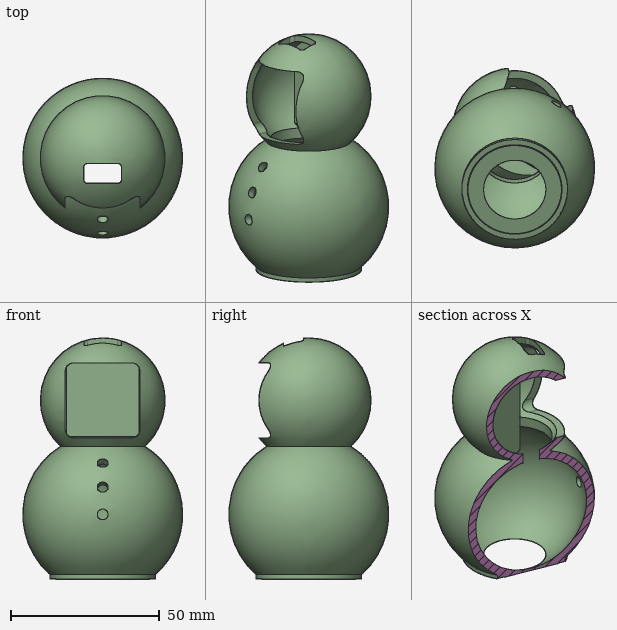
import cadquery as cq
import math

TOTAL_HEIGHT = 81.17
BODY_RADIUS = 26.9
FOOT_DIAMETER = 31.42
BODY_CENTRE_Z = math.sqrt(BODY_RADIUS**2 - (FOOT_DIAMETER / 2) ** 2)
HEAD_RADIUS = 20.99
HEAD_CENTRE_Z = TOTAL_HEIGHT - HEAD_RADIUS
INNER_RATIO = 0.9
BODY_INNER_RADIUS = BODY_RADIUS * INNER_RATIO
HEAD_INNER_RADIUS = HEAD_RADIUS * INNER_RATIO

BASE_DIAMETER = 35.54
BASE_BOTTOM_Z = 0.15
BASE_TOP_Z = BODY_CENTRE_Z - math.sqrt(BODY_RADIUS**2 - (BASE_DIAMETER / 2) ** 2)

NECK_BORE_DIAMETER = 25.2

WINDOW_SIZE = 25.2
WINDOW_CORNER_RADIUS = 3.0

BLOCK_SIZE = 24.4
BLOCK_FACE_Y = 4.3
UNDERSIDE_SLOPE = 45.0

SLOT_WIDTH = 12.6
SLOT_LENGTH = 6.6
SLOT_CENTRE_Y = -5.15
SLOT_CORNER_RADIUS = 1.2

BUTTON_DIAMETER = 3.59
BUTTON_COUNT = 3
BUTTON_PITCH_ANGLE = 20.0


def ball(radius, centre_z):
    return cq.Workplane("XY").sphere(radius).translate((0, 0, centre_z))


def cylinder(diameter, bottom_z, top_z):
    return cq.Workplane("XY", origin=(0, 0, bottom_z)).circle(diameter / 2).extrude(top_z - bottom_z)


def outer_shape():
    below_ground = cylinder(2 * BODY_RADIUS, -BODY_RADIUS, 0)
    body = ball(BODY_RADIUS, BODY_CENTRE_Z).cut(below_ground)
    base_ring = cylinder(BASE_DIAMETER, BASE_BOTTOM_Z, BASE_TOP_Z)
    return body.union(base_ring).union(ball(HEAD_RADIUS, HEAD_CENTRE_Z))


def mounting_block():
    """Block with a sloping underside, limited to the head cavity."""
    half = BLOCK_SIZE / 2
    depth = HEAD_RADIUS - BLOCK_FACE_Y
    drop = depth * math.tan(math.radians(UNDERSIDE_SLOPE))
    block = (
        cq.Workplane("YZ", origin=(-half, 0, HEAD_CENTRE_Z))
        .moveTo(BLOCK_FACE_Y, HEAD_RADIUS)
        .lineTo(BLOCK_FACE_Y, -half)
        .lineTo(HEAD_RADIUS, -half - drop)
        .lineTo(HEAD_RADIUS, HEAD_RADIUS)
        .close()
        .extrude(BLOCK_SIZE)
    )
    return block.intersect(ball(HEAD_INNER_RADIUS, HEAD_CENTRE_Z))


def cavity():
    """Both hollow balls and the neck bore; the body cavity opens through the foot."""
    head_cavity = ball(HEAD_INNER_RADIUS, HEAD_CENTRE_Z)
    body_cavity = ball(BODY_INNER_RADIUS, BODY_CENTRE_Z)
    neck_bore = cylinder(NECK_BORE_DIAMETER, BODY_CENTRE_Z, HEAD_CENTRE_Z)
    return body_cavity.union(neck_bore).union(head_cavity).cut(mounting_block())


def window():
    return (
        cq.Workplane("XZ", origin=(0, 0, HEAD_CENTRE_Z))
        .rect(WINDOW_SIZE, WINDOW_SIZE)
        .extrude(HEAD_RADIUS)
        .edges("|Y")
        .fillet(WINDOW_CORNER_RADIUS)
    )


def top_slot():
    return (
        cq.Workplane("XY", origin=(0, SLOT_CENTRE_Y, HEAD_CENTRE_Z))
        .rect(SLOT_WIDTH, SLOT_LENGTH)
        .extrude(HEAD_RADIUS)
        .edges("|Z")
        .fillet(SLOT_CORNER_RADIUS)
    )


def button_hole(elevation):
    angle = math.radians(elevation)
    direction = cq.Vector(0, -math.cos(angle), math.sin(angle))
    start = cq.Vector(0, 0, BODY_CENTRE_Z)
    drill = cq.Solid.makeCylinder(BUTTON_DIAMETER / 2, BODY_RADIUS + BUTTON_DIAMETER, start, direction)
    return cq.Workplane(drill)


result = outer_shape().cut(cavity()).cut(window()).cut(top_slot())
for index in range(BUTTON_COUNT):
    result = result.cut(button_hole(index * BUTTON_PITCH_ANGLE))